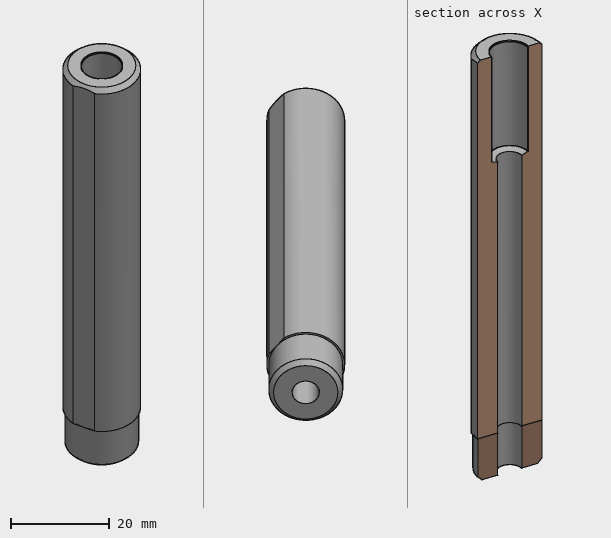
import cadquery as cq
import math

total_length = 100.0
stub_length = 10.0
rod_diameter = 15.8
across_flats = 15.0
stub_diameter = 15.0
top_chamfer = 1.0
stub_chamfer = 1.0

bore_diameter = 8.5
bore_depth = 25.0
liner_inner_diameter = 8.2
liner_recess = 0.3
passage_diameter = 5.5
cone_angle = 140.0
cone_height = (bore_diameter - passage_diameter) / 2 / math.tan(math.radians(cone_angle / 2))

rod_radius = rod_diameter / 2
bore_radius = bore_diameter / 2
passage_radius = passage_diameter / 2


def make_bore():
    """Revolved cutter for the passage, the cone and the wide upper bore."""
    cone_top = total_length - bore_depth
    return (
        cq.Workplane("XZ")
        .polyline([
            (0, 0),
            (passage_radius, 0),
            (passage_radius, cone_top - cone_height),
            (bore_radius, cone_top),
            (bore_radius, total_length),
            (0, total_length),
        ])
        .close()
        .revolve(360, (0, 0), (0, 1))
    )


def make_rod():
    """Round rod with two long flats and a chamfered upper end."""
    rod_length = total_length - stub_length
    blank = (
        cq.Workplane("XY", origin=(0, 0, stub_length))
        .circle(rod_radius)
        .extrude(rod_length)
        .faces(">Z")
        .chamfer(top_chamfer)
    )
    flats = (
        cq.Workplane("XY", origin=(0, 0, stub_length))
        .rect(rod_diameter, across_flats)
        .extrude(rod_length)
    )
    return blank.intersect(flats).cut(make_bore())


def make_stub():
    """Chamfered round stub below the rod."""
    stub = (
        cq.Workplane("XY")
        .circle(stub_diameter / 2)
        .extrude(stub_length)
        .faces("<Z")
        .chamfer(stub_chamfer)
    )
    return stub.cut(make_bore())


def make_liner():
    """Thin tube lining the wide bore, set just below the rod's upper end."""
    return (
        cq.Workplane("XY", origin=(0, 0, total_length - bore_depth))
        .circle(bore_radius)
        .circle(liner_inner_diameter / 2)
        .extrude(bore_depth - liner_recess)
    )


rod = make_rod()
stub = make_stub()
liner = make_liner()

result = cq.Compound.makeCompound([rod.val(), stub.val(), liner.val()])